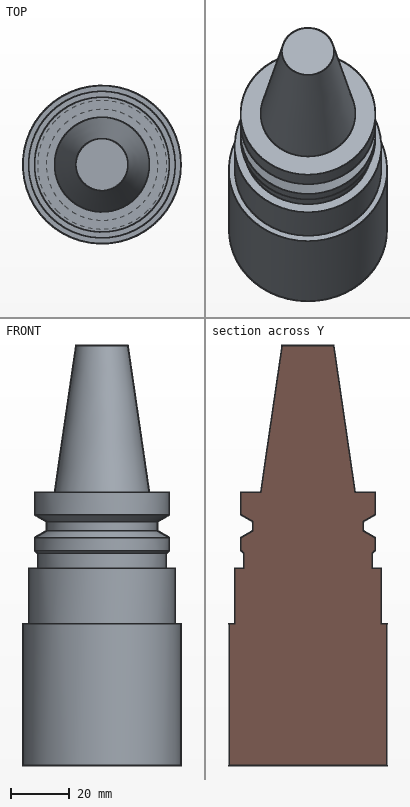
import cadquery as cq

body_diameter = 54.0
shoulder_diameter = 50.0
flange_diameter = 46.0
neck_diameter = 44.0
groove_diameter = 38.0
taper_tip_diameter = 17.8

total_height = 143.4
body_length = 48.5
shoulder_length = 19.0
neck_length = 5.0
lower_flange_length = 4.5
groove_floor_length = 3.2
upper_flange_length = 7.7
taper_length = 50.0

taper_ratio = 7 / 24
groove_wall_height = 2.3

body_radius = body_diameter / 2
shoulder_radius = shoulder_diameter / 2
flange_radius = flange_diameter / 2
neck_radius = neck_diameter / 2
groove_radius = groove_diameter / 2
tip_radius = taper_tip_diameter / 2
taper_base_radius = tip_radius + taper_ratio * taper_length / 2

shoulder_top = body_length + shoulder_length
neck_top = shoulder_top + neck_length
lower_flange_bottom = neck_top + (flange_radius - neck_radius)

flange_face = total_height - taper_length
upper_flange_bottom = flange_face - upper_flange_length
groove_floor_top = upper_flange_bottom - groove_wall_height
groove_floor_bottom = groove_floor_top - groove_floor_length
lower_flange_top = lower_flange_bottom + lower_flange_length

profile = [
    (0, 0),
    (body_radius, 0),
    (body_radius, body_length),
    (shoulder_radius, body_length),
    (shoulder_radius, shoulder_top),
    (neck_radius, shoulder_top),
    (neck_radius, neck_top),
    (flange_radius, lower_flange_bottom),
    (flange_radius, lower_flange_top),
    (groove_radius, groove_floor_bottom),
    (groove_radius, groove_floor_top),
    (flange_radius, upper_flange_bottom),
    (flange_radius, flange_face),
    (taper_base_radius, flange_face),
    (tip_radius, total_height),
    (0, total_height),
]

result = cq.Workplane("XZ").polyline(profile).close().revolve(360, (0, 0, 0), (0, 1, 0))